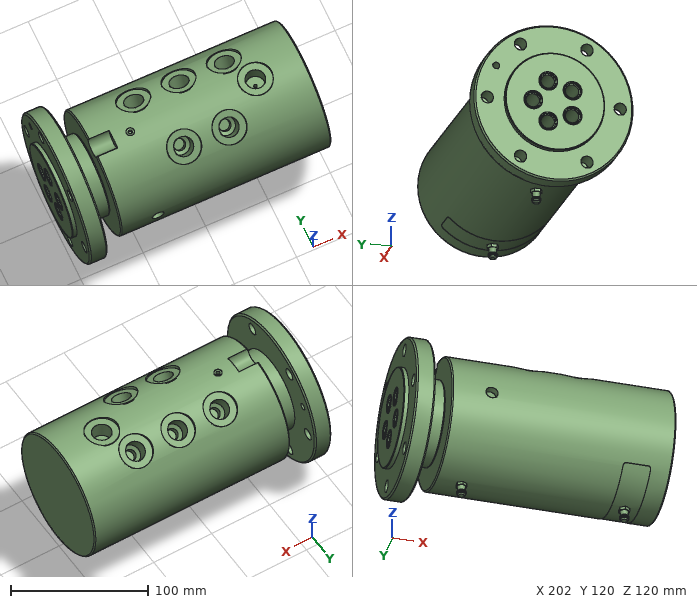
import cadquery as cq
import math

total_length = 202.0
spigot_diameter = 75.0
flange_diameter = 120.0
neck_diameter = 65.0
gap_diameter = 58.0
body_diameter = 100.0
body_radius = body_diameter / 2

flange_start = 3.6
flange_end = 18.0
neck_end = 32.7
body_start = 33.1

flange_chamfer = 1.2
body_chamfer = 1.0
neck_chamfer = 1.0
spigot_chamfer = 0.6

bolt_count = 6
bolt_hole_diameter = 9.0
bolt_circle_radius = 50.0
pin_hole_diameter = 5.0
pin_hole_angle = 30.0

end_port_count = 5
end_port_circle_radius = 16.4
end_port_diameter = 10.0
end_port_depth = 24.2
seal_seat_diameter = 14.0
seal_seat_depth = 1.8
seal_lip_diameter = 12.1
seal_lip_depth = 0.8

port_pitch = 36.3
port_tilt = 30.0
back_port_start = 77.3
back_port_count = 3
front_port_start = back_port_start + port_pitch / 2
front_port_count = 2
spotface_diameter = 26.0
spotface_radius = 47.6
port_diameter = 15.0
port_depth = 13.0
port_passage_diameter = 9.0
port_passage_depth = 20.2
drain_x = 164.0
drain_passage_diameter = 2.5
drill_tip_angle = 118.0

slot_width = port_diameter
slot_end = 50.0
screw_x = 63.5
screw_diameter = 6.0
screw_recess = 0.6
screw_socket_diameter = 3.0
screw_socket_depth = 3.0
dimple_x = 63.0
dimple_diameter = 9.0
dimple_depth = 6.0

label_center_x = 176.3
label_length = 20.8
label_half_width = 36.3
label_corner_radius = 2.0
label_depth = 0.2

nipple_places = (53.3, 176.0)
nipple_hex_width = 7.3
nipple_hex_end = 52.0
nipple_root = body_radius - 2.0
nipple_tip = flange_diameter / 2
nipple_shank_radius = 3.2
nipple_waist_radius = 2.6
nipple_collar_radius = 3.6
nipple_tip_radius = 2.2
nipple_waist_end = 55.7
nipple_collar_start = 57.0
nipple_collar_end = 57.5
nipple_head_radius = 3.0
nipple_head_start = 58.0
nipple_head_end = 59.0


def disc(start, end, diameter):
    """Cylinder on the X axis between two places."""
    return cq.Workplane("YZ", origin=(start, 0, 0)).circle(diameter / 2).extrude(end - start)


def end_hole(y, z, diameter, start, depth):
    """Cylinder along X that starts at the given place."""
    return cq.Workplane("YZ", origin=(start, y, z)).circle(diameter / 2).extrude(depth)


def radial_drill(diameter, outer, inner, pointed=False):
    """Cutter on the Z axis between two radii, with a drill point if asked for."""
    radius = diameter / 2
    point = radius / math.tan(math.radians(drill_tip_angle / 2)) if pointed else 0.0
    profile = cq.Workplane("XZ").moveTo(0, outer).lineTo(radius, outer).lineTo(radius, inner)
    return profile.lineTo(0, inner - point).close().revolve(360, (0, 0, 0), (0, 1, 0))


def place_radial(cutter, x, tilt):
    """Turn a cutter from +Z towards -Y by the tilt and move it along X."""
    return cutter.rotate((0, 0, 0), (1, 0, 0), tilt).translate((x, 0, 0))


def turned_shape():
    spigot = disc(0, flange_start, spigot_diameter).faces("<X").chamfer(spigot_chamfer)
    flange = disc(flange_start, flange_end, flange_diameter).edges().chamfer(flange_chamfer)
    neck = disc(flange_end, neck_end, neck_diameter).faces(">X").chamfer(neck_chamfer)
    gap = disc(neck_end, body_start, gap_diameter)
    body = disc(body_start, total_length, body_diameter).edges().chamfer(body_chamfer)
    return spigot.union(flange).union(neck).union(gap).union(body)


def flange_holes():
    thickness = flange_end - flange_start
    pin_angle = math.radians(pin_hole_angle)
    cutters = end_hole(
        bolt_circle_radius * math.cos(pin_angle),
        bolt_circle_radius * math.sin(pin_angle),
        pin_hole_diameter, flange_start, thickness,
    )
    for i in range(bolt_count):
        angle = 2 * math.pi * i / bolt_count
        y = bolt_circle_radius * math.cos(angle)
        z = bolt_circle_radius * math.sin(angle)
        cutters = cutters.union(end_hole(y, z, bolt_hole_diameter, flange_start, thickness))
    return cutters


def end_ports():
    steps = (
        (seal_seat_diameter, seal_lip_depth),
        (seal_lip_diameter, seal_seat_depth),
        (end_port_diameter, end_port_depth),
    )
    cutters = cq.Workplane("YZ")
    for i in range(end_port_count):
        angle = 2 * math.pi * i / end_port_count
        y = end_port_circle_radius * math.cos(angle)
        z = end_port_circle_radius * math.sin(angle)
        for diameter, depth in steps:
            cutters = cutters.union(end_hole(y, z, diameter, 0, depth))
    return cutters


def side_port(x, tilt, passage_diameter, pointed):
    """Spotface, blind port with a flat or drilled floor, and a narrower passage below it."""
    port_floor = spotface_radius - port_depth
    cutter = radial_drill(spotface_diameter, body_diameter, spotface_radius)
    cutter = cutter.union(radial_drill(port_diameter, body_diameter, port_floor, pointed))
    passage_end = spotface_radius - port_passage_depth
    cutter = cutter.union(radial_drill(passage_diameter, port_floor, passage_end))
    return place_radial(cutter, x, tilt)


def side_ports():
    cutters = side_port(drain_x, 0, drain_passage_diameter, pointed=False)
    for i in range(back_port_count):
        x = back_port_start + i * port_pitch
        cutters = cutters.union(side_port(x, -port_tilt, port_passage_diameter, pointed=True))
    for i in range(front_port_count):
        x = front_port_start + i * port_pitch
        cutters = cutters.union(side_port(x, port_tilt, port_passage_diameter, pointed=True))
    return cutters


def locating_slot():
    """Round-bottomed slot cut into the top of the body from its flange end."""
    return end_hole(0, body_radius, slot_width, body_start, slot_end - body_start)


def screw_hole():
    recess_floor = body_radius - screw_recess
    cutter = radial_drill(screw_diameter, body_diameter, recess_floor)
    socket_floor = recess_floor - screw_socket_depth
    cutter = cutter.union(radial_drill(screw_socket_diameter, body_diameter, socket_floor))
    return place_radial(cutter, screw_x, 0)


def dimple():
    cutter = radial_drill(dimple_diameter, body_diameter, body_radius - dimple_depth, pointed=True)
    return place_radial(cutter, dimple_x, 90)


def label_recess():
    ring = disc(body_start, total_length, body_diameter)
    ring = ring.cut(disc(body_start, total_length, body_diameter - 2 * label_depth))
    patch = (
        cq.Workplane("XY", origin=(label_center_x, 0, -body_diameter))
        .rect(label_length, 2 * label_half_width)
        .extrude(body_diameter)
        .edges("|Z")
        .fillet(label_corner_radius)
    )
    return ring.intersect(patch)


def grease_nipple(x):
    hexagon = (
        cq.Workplane("XY", origin=(0, 0, -nipple_hex_end))
        .polygon(6, nipple_hex_width, circumscribed=True)
        .extrude(nipple_hex_end - nipple_root)
    )
    stem = (
        cq.Workplane("XZ")
        .moveTo(0, -nipple_root)
        .lineTo(nipple_shank_radius, -nipple_root)
        .lineTo(nipple_shank_radius, -nipple_hex_end)
        .lineTo(nipple_waist_radius, -nipple_waist_end)
        .lineTo(nipple_collar_radius, -nipple_collar_start)
        .lineTo(nipple_collar_radius, -nipple_collar_end)
        .lineTo(nipple_head_radius, -nipple_head_start)
        .lineTo(nipple_head_radius, -nipple_head_end)
        .lineTo(nipple_tip_radius, -nipple_tip)
        .lineTo(0, -nipple_tip)
        .close()
        .revolve(360, (0, 0, 0), (0, 1, 0))
    )
    return hexagon.union(stem).translate((x, 0, 0))


result = (
    turned_shape()
    .cut(flange_holes())
    .cut(end_ports())
    .cut(side_ports())
    .cut(locating_slot())
    .cut(screw_hole())
    .cut(dimple())
    .cut(label_recess())
)
for nipple_x in nipple_places:
    result = result.union(grease_nipple(nipple_x))